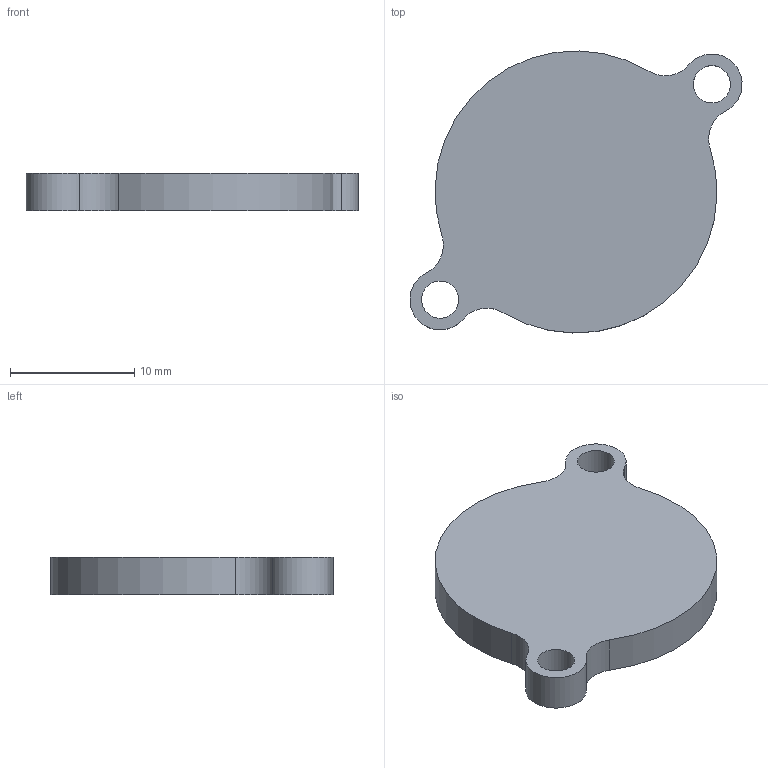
import cadquery as cq
import math

thickness = 3.0
disc_radius = 22.73 / 2
ear_radius = 2.435
ear_hole_diameter = 3.0
ear_distance = 13.97
ear_angle = 38.4
blend_radius = 2.5
ear_directions = (ear_angle, ear_angle + 180)


def polar(radius, angle):
    """Point at the given radius and angle (degrees) from the disc centre."""
    return (radius * math.cos(math.radians(angle)), radius * math.sin(math.radians(angle)))


def between(start, end, distance):
    """Point at the given distance from start, on the line towards end."""
    share = distance / math.dist(start, end)
    return (start[0] + share * (end[0] - start[0]), start[1] + share * (end[1] - start[1]))


blend_distance = disc_radius + blend_radius
blend_to_ear = ear_radius + blend_radius
blend_offset = math.degrees(math.acos(
    (blend_distance**2 + ear_distance**2 - blend_to_ear**2)
    / (2 * blend_distance * ear_distance)
))


def blend_points(direction, side):
    """Disc end, middle and ear end of the blend arc on one side (+1 or -1) of an ear."""
    disc_end = polar(disc_radius, direction + side * blend_offset)
    blend_centre = polar(blend_distance, direction + side * blend_offset)
    ear_end = between(blend_centre, polar(ear_distance, direction), blend_radius)
    chord_middle = ((disc_end[0] + ear_end[0]) / 2, (disc_end[1] + ear_end[1]) / 2)
    middle = between(blend_centre, chord_middle, blend_radius)
    return disc_end, middle, ear_end


def make_plate():
    """Disc with two opposite ears, traced counter-clockwise ear by ear."""
    outline = cq.Workplane("XY").moveTo(*polar(disc_radius, ear_directions[0] - blend_offset))
    for direction in ear_directions:
        _, first_middle, ear_start = blend_points(direction, -1)
        disc_start, second_middle, ear_end = blend_points(direction, 1)
        ear_tip = polar(ear_distance + ear_radius, direction)
        next_disc_end = polar(disc_radius, direction + 180 - blend_offset)
        outline = (
            outline
            .threePointArc(first_middle, ear_start)
            .threePointArc(ear_tip, ear_end)
            .threePointArc(second_middle, disc_start)
            .threePointArc(polar(disc_radius, direction + 90), next_disc_end)
        )
    return outline.close().extrude(thickness)


def drill_ears(plate):
    """Through hole at the centre of each ear."""
    centres = [polar(ear_distance, direction) for direction in ear_directions]
    holes = cq.Workplane("XY").pushPoints(centres).circle(ear_hole_diameter / 2).extrude(thickness)
    return plate.cut(holes)


result = drill_ears(make_plate())